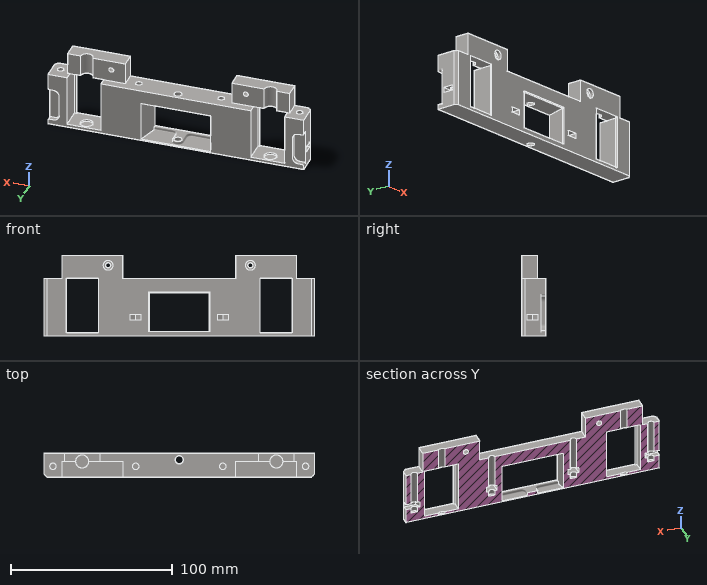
import cadquery as cq
import math

length = 167.0
depth = 15.0
bar_height = 35.7
end_chamfer = 2.0

total_height = 50.0
tower_depth = 9.9
tower_inner_x = 34.7
tower_outer_x = 72.5

side_window_x = 60.0
side_opening_width = 20.0
side_cavity_width = 22.0
side_floor = 2.2
lip_depth = 1.0
lip_taper = 0.5
cable_hole_diameter = 8.0
cable_hole_floor = 1.0

window_width = 37.7
window_bottom = 3.0
window_top = 27.2
rim_inset = 0.5
rim_depth = 0.7
cavity_back_width = 45.5
cavity_floor = 1.0
sill_depth = 1.8
boss_width = 7.0
boss_flare = 2.7
boss_fillet = 0.58
centre_hole_diameter = 4.8
centre_hole_y = 10.9

inner_screw_x = 26.9
outer_screw_x = 78.0
screw_y = 6.8
screw_diameter = 4.0
screw_bottom = 6.7
nut_width = 6.8
nut_bottom = 10.0
nut_height = 3.3

mount_x = 44.0
mount_z = 43.8
mount_diameter = 3.0
mount_head_diameter = 6.0
mount_head_depth = 2.7

recess_depth = 3.2
recess_length = 7.3
recess_bottom = 3.5
recess_top = 24.9
recess_corner_radius = 3.8
recess_mouth_radius = 1.0

half_length = length / 2


def block(x_min, x_max, y_min, y_max, z_min, z_max):
    """Box given by its limits along each axis."""
    size = (x_max - x_min, y_max - y_min, z_max - z_min)
    return cq.Workplane("XY").box(*size, centered=False).translate((x_min, y_min, z_min))


def upright_cylinder(x, y, diameter, z_min, z_max):
    """Vertical cylinder between two heights."""
    return cq.Workplane("XY", origin=(x, y, z_min)).circle(diameter / 2).extrude(z_max - z_min)


def both_sides(shape):
    """A shape together with its mirror image across X = 0."""
    return shape.union(shape.mirror("YZ"))


def bar_with_towers():
    bar = block(-half_length, half_length, 0, depth, 0, bar_height)
    bar = bar.faces("<Y").edges("|Z").chamfer(end_chamfer)
    tower = block(tower_inner_x, tower_outer_x, 0, tower_depth, bar_height, total_height)
    return bar.union(both_sides(tower))


def side_window():
    """Opening on the +X side; only the outer edge of its lip is tapered."""
    inner_x = side_window_x - side_opening_width / 2
    outer_x = side_window_x + side_opening_width / 2
    opening = (
        cq.Workplane("XY", origin=(0, 0, side_floor))
        .moveTo(inner_x, 0)
        .lineTo(outer_x, 0)
        .lineTo(outer_x - lip_taper, lip_depth)
        .lineTo(inner_x, lip_depth)
        .close()
        .extrude(bar_height - side_floor)
    )
    half_cavity = side_cavity_width / 2
    cavity = block(
        side_window_x - half_cavity, side_window_x + half_cavity,
        lip_depth, depth, side_floor, bar_height,
    )
    cable_hole = upright_cylinder(
        side_window_x, tower_depth, cable_hole_diameter, cable_hole_floor, total_height
    )
    return opening.union(cavity).union(cable_hole)


def centre_cavity(z_min, z_max):
    """Space behind the rim, widening from the front opening to the back face."""
    front_half = window_width / 2
    throat_half = front_half - rim_inset
    back_half = cavity_back_width / 2
    return (
        cq.Workplane("XY", origin=(0, 0, z_min))
        .moveTo(-front_half, 0)
        .lineTo(front_half, 0)
        .lineTo(throat_half, rim_depth)
        .lineTo(back_half, depth)
        .lineTo(-back_half, depth)
        .lineTo(-throat_half, rim_depth)
        .close()
        .extrude(z_max - z_min)
    )


def outline_edges(height):
    """Selects the edges of the sill and tongue outline that lie at one height."""
    half_x = window_width / 2
    margin = boss_fillet / 2
    return cq.selectors.BoxSelector(
        (-half_x, margin, height - margin),
        (half_x, depth - margin, height + margin),
    )


def cavity_floor_shape():
    """Cavity floor with a sill behind the front rim and a rounded tongue around the centre hole."""
    tongue_half = boss_width / 2
    flare_half = tongue_half + boss_flare
    sill_half = cavity_back_width / 2
    sill = (
        cq.Workplane("XY")
        .moveTo(-sill_half, 0)
        .lineTo(sill_half, 0)
        .lineTo(sill_half, sill_depth)
        .lineTo(flare_half, sill_depth)
        .radiusArc((tongue_half, sill_depth + boss_flare), boss_flare)
        .lineTo(tongue_half, centre_hole_y)
        .threePointArc((0, centre_hole_y + tongue_half), (-tongue_half, centre_hole_y))
        .lineTo(-tongue_half, sill_depth + boss_flare)
        .radiusArc((-flare_half, sill_depth), boss_flare)
        .lineTo(-sill_half, sill_depth)
        .close()
        .extrude(window_bottom)
    )
    slab = block(-sill_half, sill_half, 0, depth, 0, cavity_floor)
    sill = sill.union(slab)
    for edge_height in (window_bottom, cavity_floor):
        sill = sill.edges(outline_edges(edge_height)).fillet(boss_fillet)
    return sill


def centre_window():
    ceiling = window_top - rim_inset
    top_bevel = (
        cq.Workplane("YZ")
        .polyline([(0, ceiling), (0, window_top), (rim_depth, ceiling)])
        .close()
        .extrude(window_width / 2, both=True)
    )
    return centre_cavity(0, ceiling).cut(cavity_floor_shape()).union(top_bevel)


def nut_slot():
    """Slot for a nut centred on the origin, entered from -Y, with a hexagonal closed end."""
    corner_diameter = nut_width / math.cos(math.pi / 6)
    nut = (
        cq.Workplane("XY")
        .polygon(6, corner_diameter)
        .extrude(nut_height)
        .rotate((0, 0, 0), (0, 0, 1), 30)
    )
    entry = block(-nut_width / 2, nut_width / 2, -screw_y, 0, 0, nut_height)
    return nut.union(entry)


def screw_holes():
    """Blind screw holes with nut slots: inner pair entered from the front, outer from the ends."""
    inner_slot = nut_slot().translate((inner_screw_x, screw_y, nut_bottom))
    outer_slot = (
        nut_slot()
        .rotate((0, 0, 0), (0, 0, 1), 90)
        .translate((outer_screw_x, screw_y, nut_bottom))
    )
    holes = inner_slot.union(outer_slot)
    for x in (inner_screw_x, outer_screw_x):
        holes = holes.union(upright_cylinder(x, screw_y, screw_diameter, screw_bottom, bar_height))
    return holes


def mount_hole():
    front = cq.Workplane("XZ", origin=(mount_x, 0, mount_z))
    bore = front.circle(mount_diameter / 2).extrude(-tower_depth)
    head = front.circle(mount_head_diameter / 2).extrude(-mount_head_depth)
    return bore.union(head)


def end_recess():
    """Back recess at the +X end: rounded inner corners and a mouth that flares outwards."""
    inner_x = half_length - recess_length
    mouth_x = half_length - recess_mouth_radius
    corner = recess_corner_radius
    mouth = recess_mouth_radius
    return (
        cq.Workplane("XZ", origin=(0, depth, 0))
        .moveTo(half_length, recess_bottom - mouth)
        .radiusArc((mouth_x, recess_bottom), -mouth)
        .lineTo(inner_x + corner, recess_bottom)
        .radiusArc((inner_x, recess_bottom + corner), corner)
        .lineTo(inner_x, recess_top - corner)
        .radiusArc((inner_x + corner, recess_top), corner)
        .lineTo(mouth_x, recess_top)
        .radiusArc((half_length, recess_top + mouth), -mouth)
        .close()
        .extrude(recess_depth)
    )


result = bar_with_towers()
result = result.cut(centre_window())
result = result.cut(upright_cylinder(0, centre_hole_y, centre_hole_diameter, 0, bar_height))
for feature in (side_window(), screw_holes(), mount_hole(), end_recess()):
    result = result.cut(both_sides(feature))